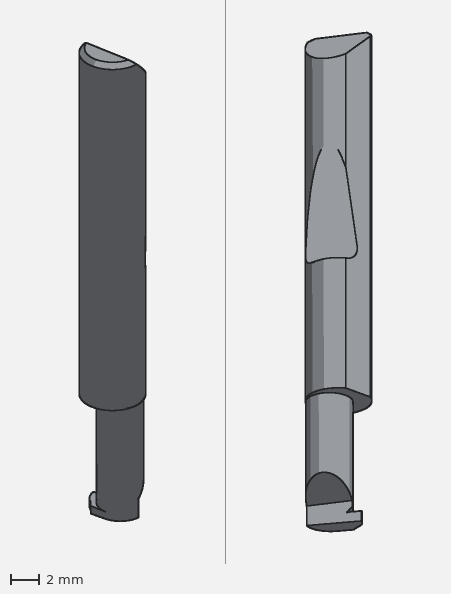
import cadquery as cq
import math

LENGTH = 38.1
SHANK_RADIUS = 2.38
SHANK_BOTTOM = 9.52
TOP_CHAMFER = 0.4
FLAT_ANGLE = 150.0
TOP_SLOPE_START_Y = -0.57

NOTCH_BOTTOM = 19.62
NOTCH_TOP = 28.58
NOTCH_RADIUS = 1.05
NOTCH_RAMP_ANGLE = 9.0
NOTCH_FLOOR_Y = 1.1

NECK_RADIUS = 1.695
NECK_X = SHANK_RADIUS - NECK_RADIUS
NECK_SLOPE_END_Z = 1.68

HEAD_TOP = 0.8
TIP_X = -1.7
HEAD_SIDE = (-1.5, -0.75)
HEAD_FLANK_END = (-1.03, -1.22)
HEAD_CORNER_X = -0.6
NECK_RELIEF = 0.4
NECK_RELIEF_DEPTH = 0.6
BOTTOM_SLOPE_X = 0.04
BOTTOM_SLOPE_Y = 0.06
CLEARANCE = 7.62


def cut_along_x(points):
    """Cutter with a (y, z) outline that passes through the part along X."""
    return cq.Workplane("YZ").polyline(points).close().extrude(CLEARANCE, both=True)


def make_shank():
    shank = (
        cq.Workplane("XY")
        .workplane(offset=SHANK_BOTTOM)
        .circle(SHANK_RADIUS)
        .extrude(LENGTH - SHANK_BOTTOM)
        .faces(">Z")
        .chamfer(TOP_CHAMFER)
    )
    flat_distance = SHANK_RADIUS * math.cos(math.radians(30))
    flat = (
        cq.Workplane("XY")
        .box(CLEARANCE, CLEARANCE, LENGTH, centered=(False, True, False))
        .translate((flat_distance, 0, 0))
        .rotate((0, 0, 0), (0, 0, 1), FLAT_ANGLE)
    )
    top_slope = cut_along_x([
        (TOP_SLOPE_START_Y, LENGTH),
        (TOP_SLOPE_START_Y + CLEARANCE, LENGTH - CLEARANCE),
        (TOP_SLOPE_START_Y + CLEARANCE, LENGTH),
    ])
    return shank.cut(flat).cut(top_slope).cut(make_notch())


def make_notch():
    """Notch on the +Y side: a ramp that runs tangent into a round bottom."""
    ramp = math.radians(NOTCH_RAMP_ANGLE)
    center_y = NOTCH_FLOOR_Y + NOTCH_RADIUS
    center_z = NOTCH_BOTTOM + NOTCH_RADIUS

    def arc_point(angle):
        return (center_y - NOTCH_RADIUS * math.cos(angle), center_z + NOTCH_RADIUS * math.sin(angle))

    return (
        cq.Workplane("YZ")
        .moveTo(SHANK_RADIUS, NOTCH_TOP)
        .lineTo(*arc_point(ramp))
        .threePointArc(arc_point(math.radians(-45)), (center_y, NOTCH_BOTTOM))
        .lineTo(CLEARANCE, NOTCH_BOTTOM)
        .lineTo(CLEARANCE, NOTCH_TOP)
        .close()
        .extrude(CLEARANCE, both=True)
    )


def make_neck():
    neck = cq.Workplane("XY").center(NECK_X, 0).circle(NECK_RADIUS).extrude(SHANK_BOTTOM)
    rake_cut = cut_along_x([
        (0, 0),
        (0, NECK_SLOPE_END_Z),
        (CLEARANCE, NECK_SLOPE_END_Z + CLEARANCE),
        (CLEARANCE, 0),
    ])
    neck_left = NECK_X - NECK_RADIUS
    relief = (
        cq.Workplane("XZ")
        .polyline([
            (neck_left, HEAD_TOP),
            (neck_left, HEAD_TOP + NECK_RELIEF),
            (neck_left + NECK_RELIEF, HEAD_TOP),
        ])
        .close()
        .extrude(NECK_RELIEF_DEPTH)
    )
    return neck.cut(rake_cut).cut(relief)


def make_head():
    return (
        cq.Workplane("XY")
        .moveTo(TIP_X, 0)
        .threePointArc(HEAD_SIDE, HEAD_FLANK_END)
        .lineTo(HEAD_CORNER_X, -NECK_RADIUS)
        .lineTo(NECK_X, -NECK_RADIUS)
        .lineTo(NECK_X, 0)
        .close()
        .extrude(HEAD_TOP)
    )


def make_bottom_relief():
    """Cutter below a tilted plane that leaves the cutting tip lowest."""
    plane = cq.Plane(
        origin=(TIP_X, 0, 0),
        xDir=(1, 0, BOTTOM_SLOPE_X),
        normal=(-BOTTOM_SLOPE_X, BOTTOM_SLOPE_Y, 1),
    )
    return cq.Workplane(plane).rect(2 * CLEARANCE, 2 * CLEARANCE).extrude(-CLEARANCE)


result = make_shank().union(make_neck()).union(make_head()).cut(make_bottom_relief())